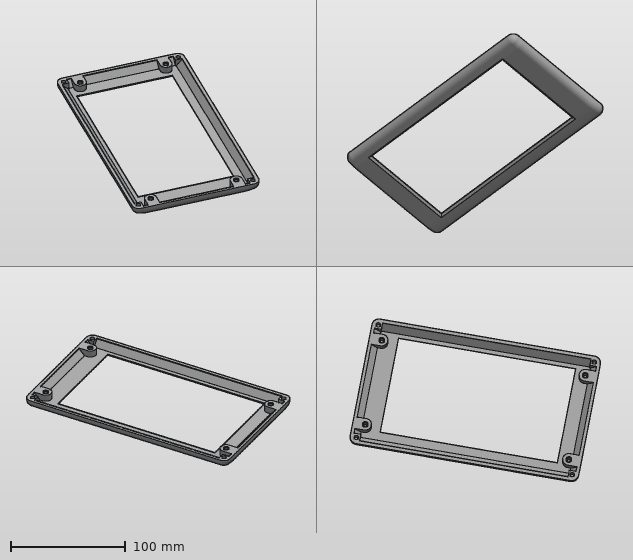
import cadquery as cq
import math

length = 202.5
width = 117.4
height = 9.1
corner_radius = 6.3

slope_run = 11.3
slope_angle = 10.5
curve_run = 15.3
curve_radius = 40.0
outer_fillet_radius = 6.0

floor_thickness = 2.8
lip_height = 0.8
long_side_rim = 3.2
short_side_rim = 2.9
long_side_slope_run = 5.4
short_side_slope_run = 5.4

window_length = 156.8
window_width = 88.6
window_shift_x = -2.0
window_shift_y = -2.1
window_lip = 0.8

corner_block_length = 8.9
corner_block_width = 9.2
corner_hole_diameter = 3.9
corner_hole_inset = 5.6
corner_hole_depth = 5.0

boss_inset_x = 11.1
boss_inset_y = 19.0
boss_radius = 5.4
boss_hole_diameter = 3.8
boss_hole_mouth_diameter = 5.0
boss_hole_depth = 6.0
boss_hole_mouth_depth = 1.0

corner_signs = [(sign_x, sign_y) for sign_x in (-1, 1) for sign_y in (-1, 1)]


def outer_shell():
    """Rounded-corner slab with a raised underside along both long sides and a filleted lower edge."""
    half_width = width / 2
    slope_start_y = slope_run - half_width
    curve_start_y = half_width - curve_run

    def curve_z(run):
        return curve_radius - math.sqrt(curve_radius**2 - run**2)

    curve_middle = (curve_start_y + curve_run / 2, curve_z(curve_run / 2))
    curve_end = (half_width, curve_z(curve_run))
    cross_section = (
        cq.Workplane("YZ")
        .moveTo(-half_width, height)
        .lineTo(-half_width, slope_run * math.tan(math.radians(slope_angle)))
        .lineTo(slope_start_y, 0)
        .lineTo(curve_start_y, 0)
        .threePointArc(curve_middle, curve_end)
        .lineTo(half_width, height)
        .close()
        .extrude(length / 2, both=True)
    )
    outline = cq.Workplane("XY").rect(length, width).extrude(height).edges("|Z").fillet(corner_radius)
    slab = outline.intersect(cross_section)
    underside_edges = slab.edges(
        cq.selectors.BoxSelector((-length, -width, -1), (length, width, height / 2))
    )
    return underside_edges.fillet(outer_fillet_radius)


def cavity():
    """Trough with a short upright lip below the rim and walls tapering from there to the floor."""
    mouth_length = length - 2 * short_side_rim
    mouth_width = width - 2 * long_side_rim
    floor_length = mouth_length - 2 * short_side_slope_run
    floor_width = mouth_width - 2 * long_side_slope_run
    slope_height = height - lip_height - floor_thickness
    taper = (
        cq.Workplane("XY", origin=(0, 0, floor_thickness))
        .rect(floor_length, floor_width)
        .workplane(offset=slope_height)
        .rect(mouth_length, mouth_width)
        .loft(ruled=True)
    )
    return taper.faces(">Z").wires().toPending().extrude(lip_height)


def corner_block(sign_x, sign_y):
    """Material left standing in one corner of the cavity."""
    return (
        cq.Workplane("XY")
        .center(sign_x * (length - corner_block_length) / 2, sign_y * (width - corner_block_width) / 2)
        .rect(corner_block_length, corner_block_width)
        .extrude(height)
    )


def boss(sign_x, sign_y):
    """Round screw post with a rib reaching back to the short side."""
    centre_x = sign_x * (length / 2 - boss_inset_x)
    centre_y = sign_y * (width / 2 - boss_inset_y)
    post = cq.Workplane("XY").center(centre_x, centre_y).circle(boss_radius).extrude(height)
    rib = (
        cq.Workplane("XY")
        .center(centre_x + sign_x * boss_inset_x / 2, centre_y)
        .rect(boss_inset_x, 2 * boss_radius)
        .extrude(height)
    )
    return post.union(rib)


def window_opening():
    """Rectangular opening: an upright lip at the floor and a 45 degree bevel widening to the underside."""
    bevel = floor_thickness - window_lip
    origin = (window_shift_x, window_shift_y, 0)
    straight = cq.Workplane("XY", origin=origin).rect(window_length, window_width).extrude(height)
    flare = (
        cq.Workplane("XY", origin=origin)
        .rect(window_length + 2 * bevel, window_width + 2 * bevel)
        .workplane(offset=bevel)
        .rect(window_length, window_width)
        .loft(ruled=True)
    )
    return straight.union(flare)


def blind_hole(sign_x, sign_y, inset_x, inset_y, diameter, depth):
    """Cylinder sunk from the rim, placed by its distances from the two nearest sides."""
    return (
        cq.Workplane("XY", origin=(0, 0, height))
        .center(sign_x * (length / 2 - inset_x), sign_y * (width / 2 - inset_y))
        .circle(diameter / 2)
        .extrude(-depth)
    )


def corner_pin_hole(sign_x, sign_y):
    """Blind hole in one corner block."""
    return blind_hole(
        sign_x, sign_y, corner_hole_inset, corner_hole_inset, corner_hole_diameter, corner_hole_depth
    )


def boss_hole(sign_x, sign_y):
    """Stepped blind hole on the axis of one boss."""
    bore = blind_hole(sign_x, sign_y, boss_inset_x, boss_inset_y, boss_hole_diameter, boss_hole_depth)
    mouth = blind_hole(
        sign_x, sign_y, boss_inset_x, boss_inset_y, boss_hole_mouth_diameter, boss_hole_mouth_depth
    )
    return bore.union(mouth)


trough = cavity()
for sign_x, sign_y in corner_signs:
    trough = trough.cut(corner_block(sign_x, sign_y))
    trough = trough.cut(boss(sign_x, sign_y))

result = outer_shell().cut(trough).cut(window_opening())
for sign_x, sign_y in corner_signs:
    result = result.cut(corner_pin_hole(sign_x, sign_y))
    result = result.cut(boss_hole(sign_x, sign_y))